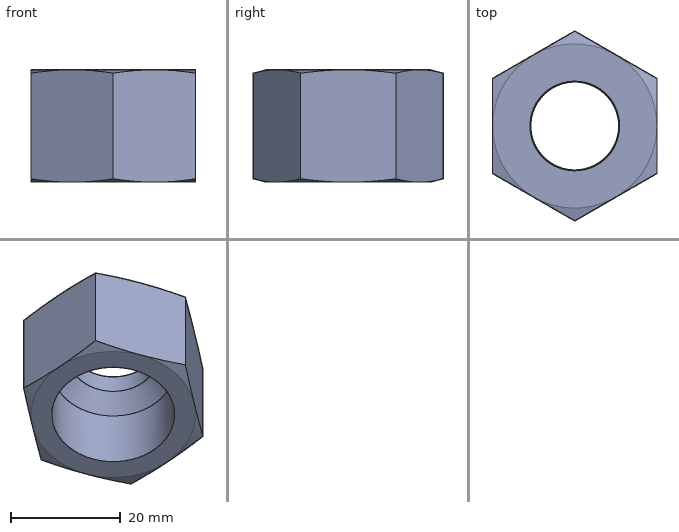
import cadquery as cq
import math

across_corners = 34.65
height = 20.5
side_count = 6

face_diameter = 29.93
corner_chamfer_angle = 15.0
envelope_margin = 0.35

bore_diameter = 16.0
bore_depth = 4.33
wide_bore_diameter = 22.38
cone_angle = 45.0
rim_chamfer = 0.17


def revolve_profile(points):
    """Revolve (radius, height) points about the Z axis."""
    return cq.Workplane("XZ").polyline(points).close().revolve(360, (0, 0), (0, 1))


def hex_body():
    return (
        cq.Workplane("XY")
        .polygon(side_count, across_corners)
        .extrude(height)
        .rotate((0, 0, 0), (0, 0, 1), 180 / side_count)
    )


def chamfer_envelope():
    """Round blank with coned ends that trims the hexagon corners."""
    face_radius = face_diameter / 2
    outer_radius = across_corners / 2 + envelope_margin
    drop = (outer_radius - face_radius) * math.tan(math.radians(corner_chamfer_angle))
    return revolve_profile([
        (0, 0),
        (face_radius, 0),
        (outer_radius, drop),
        (outer_radius, height - drop),
        (face_radius, height),
        (0, height),
    ])


def stepped_bore():
    bore_radius = bore_diameter / 2
    wide_radius = wide_bore_diameter / 2
    cone_top = height - bore_depth
    cone_length = (wide_radius - bore_radius) / math.tan(math.radians(cone_angle))
    return revolve_profile([
        (0, 0),
        (wide_radius, 0),
        (wide_radius, cone_top - cone_length),
        (bore_radius, cone_top),
        (bore_radius, height - rim_chamfer),
        (bore_radius + rim_chamfer, height),
        (0, height),
    ])


result = hex_body().intersect(chamfer_envelope()).cut(stepped_bore())